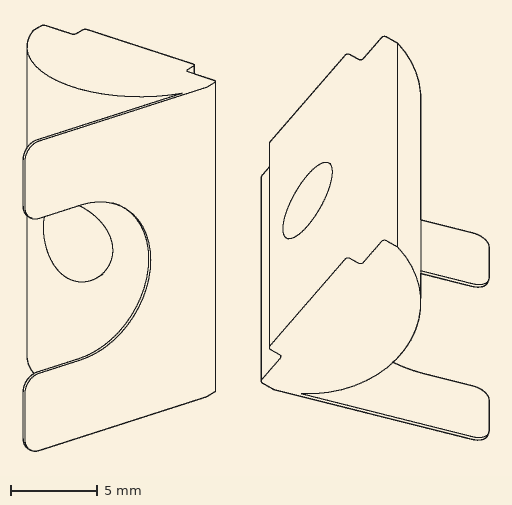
import cadquery as cq
import math

length = 20.0
body_width = 12.5
round_radius = 6.55
side_bottom = -2.0
rib_width = 8.0
rib_height = 1.0
edge_radius = 0.2
hole_diameter = 5.0

blade_length = 13.0
blade_thickness = 0.2
blade_corner_radius = 1.0
notch_radius = 5.0
notch_depth = 9.0

half_width = body_width / 2
half_rib = rib_width / 2
round_center_y = side_bottom + math.sqrt(round_radius**2 - half_width**2)
round_bottom = round_center_y - round_radius
tangent_angle = math.degrees(math.acos(half_width / round_radius))


def make_body():
    """Extrude the rounded profile; the back of the rib lies at Y = 0."""
    body = (
        cq.Workplane("XY")
        .moveTo(-half_width, side_bottom)
        .threePointArc((0, round_bottom), (half_width, side_bottom))
        .lineTo(half_width, -rib_height)
        .lineTo(half_rib, -rib_height)
        .lineTo(half_rib, 0)
        .lineTo(-half_rib, 0)
        .lineTo(-half_rib, -rib_height)
        .lineTo(-half_width, -rib_height)
        .close()
        .extrude(length / 2, both=True)
    )
    back_edges = cq.selectors.BoxSelector(
        (-body_width, -rib_height - edge_radius, -length),
        (body_width, edge_radius, length),
    )
    return body.edges("|Z").edges(back_edges).fillet(edge_radius)


def make_blade():
    """Build the notched blade hanging straight along -Y, then tilt it to the tangent."""
    blade = (
        cq.Workplane("XY")
        .box(blade_thickness, blade_length, length)
        .translate((-blade_thickness / 2, -blade_length / 2, 0))
    )
    arc_start_y = notch_depth - blade_length - notch_radius
    notch = (
        cq.Workplane("YZ")
        .moveTo(-blade_length, -notch_radius)
        .lineTo(arc_start_y, -notch_radius)
        .threePointArc((arc_start_y + notch_radius, 0), (arc_start_y, notch_radius))
        .lineTo(-blade_length, notch_radius)
        .close()
        .extrude(blade_thickness, both=True)
    )
    blade = blade.cut(notch).edges("|X and <Y").fillet(blade_corner_radius)
    blade = blade.rotate((0, 0, 0), (0, 0, 1), -tangent_angle)
    return blade.translate((half_width, side_bottom, 0))


def make_hole():
    """Cross hole through the body along Y."""
    return cq.Workplane("XZ").circle(hole_diameter / 2).extrude(body_width, both=True)


result = make_body().cut(make_hole()).union(make_blade())